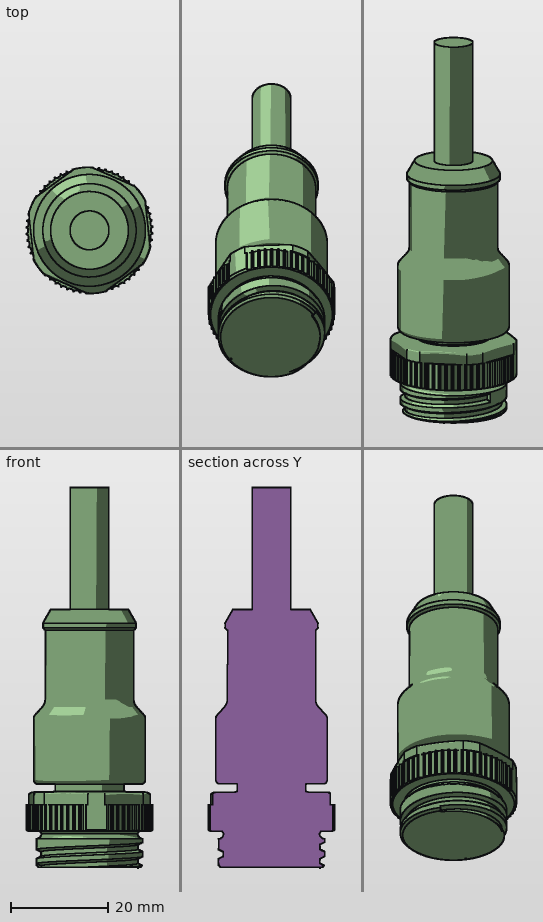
import cadquery as cq
import math

TOTAL_HEIGHT = 78.3
GRIP_TOP_Z = 53.2
BEAD_TOP_Z = 50.4
BEAD_BOTTOM_Z = 49.4
SHOULDER_TOP_Z = 33.85
SHOULDER_BOTTOM_Z = 31.2
SLEEVE_BOTTOM_Z = 17.3
NUT_TOP_Z = 15.75
KNURL_TOP_Z = 13.1
NUT_BOTTOM_Z = 7.6
SPIGOT_BOTTOM_Z = 7.15
RELIEF_Z = 6.55
THREAD_TOP_Z = 6.1
MATING_FACE_Z = 0.2

CABLE_RADIUS = 4.0
GRIP_TOP_RADIUS = 8.0
BEAD_RADIUS = 9.6
BEAD_CHAMFER = 0.5
GRIP_RADIUS = 9.1
SLEEVE_RADIUS = 11.5
SHOULDER_COVE_RADIUS = 2.3
SHOULDER_ROUND_RADIUS = 1.0
SLEEVE_BOTTOM_ROUND = 0.9
NECK_RADIUS = 7.1
NECK_FLARE_WIDTH = 0.35
NECK_FLARE_HEIGHT = 0.15

NUT_RADIUS = 13.0
HEX_SIDES = 6
HEX_ANGLE = 36.3
CORNER_HALF_ANGLE = 7.8
HEX_APOTHEM = NUT_RADIUS * math.cos(math.radians(180 / HEX_SIDES - CORNER_HALF_ANGLE))
NUT_TOP_ROUND = 0.4
NUT_CROWN_RADIUS = 11.2
NUT_CROWN_DROP = 0.4
NUT_BOTTOM_CHAMFER_HEIGHT = 0.3
NUT_BOTTOM_CHAMFER_WIDTH = 0.5
KNURL_PITCH_ANGLE = 6.0
KNURLS_PER_SIDE = 7
KNURL_ROOT_WIDTH = 0.8
KNURL_MOUTH_WIDTH = 1.25
KNURL_DEPTH = 0.35
KNURL_OVERCUT = 0.35
KNURLS_PER_CORNER = 3
CORNER_KNURL_DEPTH = 0.2
SMOOTH_CORNERS = (1, 4)

SPIGOT_RADIUS = 10.2
SPIGOT_TIP_RADIUS = 9.9
RELIEF_RADIUS = 10.1
THREAD_MAJOR_RADIUS = 10.95
THREAD_ROOT_RADIUS = 10.0
THREAD_PITCH = 2.9
THREAD_CHAMFER = 0.5
GROOVE_ROOT_WIDTH = 0.95
GROOVE_MOUTH_WIDTH = 1.9
GROOVE_OVERCUT = 0.5
GROOVE_START_ANGLE = 185
GROOVE_END_ANGLE = 60
GROOVE_START_Z = 0.09
GROOVE_TURNS = 2 + (GROOVE_END_ANGLE - GROOVE_START_ANGLE) / 360
THREAD_TIP_ANGLE = 5
THREAD_TIP_SIZE = 0.15

SELECT_MARGIN = 0.05


def revolve_profile(points):
    """Solid of revolution about Z from (radius, height) points."""
    return cq.Workplane("XZ").polyline(points).close().revolve(360, (0, 0, 0), (0, 1, 0))


def disc(radius, bottom_z, top_z):
    """Round bar on the Z axis."""
    return cq.Workplane("XY").workplane(offset=bottom_z).circle(radius).extrude(top_z - bottom_z)


def round_ring(body, radius, height, fillet_radius):
    """Fillet the circular edge found at the given radius and height."""
    selector = cq.selectors.BoxSelector(
        (-radius - SELECT_MARGIN, -radius - SELECT_MARGIN, height - SELECT_MARGIN),
        (radius + SELECT_MARGIN, radius + SELECT_MARGIN, height + SELECT_MARGIN),
        boundingbox=True,
    )
    return body.edges(selector).fillet(fillet_radius)


def make_grip():
    """Strain-relief grip: top cone, bead, barrel, conical shoulder and sleeve."""
    grip = revolve_profile([
        (0, GRIP_TOP_Z),
        (GRIP_TOP_RADIUS, GRIP_TOP_Z),
        (BEAD_RADIUS, BEAD_TOP_Z),
        (BEAD_RADIUS, BEAD_BOTTOM_Z),
        (BEAD_RADIUS - BEAD_CHAMFER, BEAD_BOTTOM_Z - BEAD_CHAMFER),
        (GRIP_RADIUS, SHOULDER_TOP_Z),
        (SLEEVE_RADIUS, SHOULDER_BOTTOM_Z),
        (SLEEVE_RADIUS, SLEEVE_BOTTOM_Z),
        (0, SLEEVE_BOTTOM_Z),
    ])
    grip = round_ring(grip, GRIP_RADIUS, SHOULDER_TOP_Z, SHOULDER_COVE_RADIUS)
    grip = round_ring(grip, SLEEVE_RADIUS, SHOULDER_BOTTOM_Z, SHOULDER_ROUND_RADIUS)
    return round_ring(grip, SLEEVE_RADIUS, SLEEVE_BOTTOM_Z, SLEEVE_BOTTOM_ROUND)


def make_neck():
    """Neck between sleeve and nut, flared where it meets the nut."""
    return revolve_profile([
        (0, SLEEVE_BOTTOM_Z),
        (NECK_RADIUS, SLEEVE_BOTTOM_Z),
        (NECK_RADIUS, NUT_TOP_Z + NECK_FLARE_HEIGHT),
        (NECK_RADIUS + NECK_FLARE_WIDTH, NUT_TOP_Z),
        (0, NUT_TOP_Z),
    ])


def make_nut_envelope():
    """Round blank of the nut with a conical crown and a chamfered bottom edge."""
    return revolve_profile([
        (0, NUT_TOP_Z),
        (NUT_CROWN_RADIUS, NUT_TOP_Z),
        (NUT_RADIUS, NUT_TOP_Z - NUT_CROWN_DROP),
        (NUT_RADIUS, NUT_BOTTOM_Z + NUT_BOTTOM_CHAMFER_HEIGHT),
        (NUT_RADIUS - NUT_BOTTOM_CHAMFER_WIDTH, NUT_BOTTOM_Z),
        (0, NUT_BOTTOM_Z),
    ])


def make_hex_head():
    """Hexagon with corners turned to the nut radius and a rounded top edge."""
    across_corners = 2 * HEX_APOTHEM / math.cos(math.pi / HEX_SIDES)
    hexagon = (
        cq.Workplane("XY").workplane(offset=NUT_BOTTOM_Z)
        .polygon(HEX_SIDES, across_corners).extrude(NUT_TOP_Z - NUT_BOTTOM_Z)
        .rotate((0, 0, 0), (0, 0, 1), HEX_ANGLE)
    )
    head = hexagon.intersect(make_nut_envelope())
    crown_edges = cq.selectors.BoxSelector(
        (-NUT_RADIUS, -NUT_RADIUS, NUT_TOP_Z - NUT_CROWN_DROP - SELECT_MARGIN),
        (NUT_RADIUS, NUT_RADIUS, NUT_TOP_Z - SELECT_MARGIN),
    )
    return head.edges(crown_edges).fillet(NUT_TOP_ROUND)


def make_knurl_groove(depth):
    """Axial groove cutter of the given depth, placed on the X axis."""
    return (
        cq.Workplane("XY").workplane(offset=NUT_BOTTOM_Z)
        .polyline([
            (NUT_RADIUS - depth, -KNURL_ROOT_WIDTH / 2),
            (NUT_RADIUS, -KNURL_MOUTH_WIDTH / 2),
            (NUT_RADIUS + KNURL_OVERCUT, -KNURL_MOUTH_WIDTH / 2),
            (NUT_RADIUS + KNURL_OVERCUT, KNURL_MOUTH_WIDTH / 2),
            (NUT_RADIUS, KNURL_MOUTH_WIDTH / 2),
            (NUT_RADIUS - depth, KNURL_ROOT_WIDTH / 2),
        ])
        .close()
        .extrude(KNURL_TOP_Z - NUT_BOTTOM_Z)
    )


def cut_knurls(body, depth, count, center_angles):
    """Cut a group of evenly pitched grooves about each of the given angles."""
    groove = make_knurl_groove(depth)
    grooves = []
    for center_angle in center_angles:
        for index in range(count):
            angle = center_angle + (index - (count - 1) / 2) * KNURL_PITCH_ANGLE
            grooves.append(groove.rotate((0, 0, 0), (0, 0, 1), angle).val())
    return body.cut(cq.Compound.makeCompound(grooves))


def make_nut():
    """Hexagon joined to a band knurled deeply on its sides and lightly on four corners."""
    side_angle = 360 / HEX_SIDES
    corners = [HEX_ANGLE + index * side_angle for index in range(HEX_SIDES)]
    sides = [corner + side_angle / 2 for corner in corners]
    knurled_corners = [corner for index, corner in enumerate(corners) if index not in SMOOTH_CORNERS]
    band = make_nut_envelope().intersect(disc(NUT_RADIUS, NUT_BOTTOM_Z, KNURL_TOP_Z))
    band = cut_knurls(band, KNURL_DEPTH, KNURLS_PER_SIDE, sides)
    nut = make_hex_head().union(band)
    return cut_knurls(nut, CORNER_KNURL_DEPTH, KNURLS_PER_CORNER, knurled_corners)


def make_threaded_end():
    """Spigot and relief below the nut, then a collar with a helical groove."""
    body = (
        cq.Workplane("XZ")
        .moveTo(0, NUT_BOTTOM_Z)
        .lineTo(SPIGOT_RADIUS, NUT_BOTTOM_Z)
        .lineTo(SPIGOT_TIP_RADIUS, SPIGOT_BOTTOM_Z)
        .threePointArc((RELIEF_RADIUS, RELIEF_Z), (THREAD_MAJOR_RADIUS, THREAD_TOP_Z))
        .lineTo(THREAD_MAJOR_RADIUS, MATING_FACE_Z + THREAD_CHAMFER)
        .lineTo(THREAD_MAJOR_RADIUS - THREAD_CHAMFER, MATING_FACE_Z)
        .lineTo(0, MATING_FACE_Z)
        .close()
        .revolve(360, (0, 0, 0), (0, 1, 0))
    )
    return body.cut(make_thread_groove()).union(make_thread_tip())


def make_thread_tip():
    """Small tip of the thread start that stands below the mating face."""
    return (
        cq.Workplane("XY")
        .center(THREAD_ROOT_RADIUS, 0)
        .rect(THREAD_TIP_SIZE, THREAD_TIP_SIZE)
        .extrude(2 * MATING_FACE_Z)
        .rotate((0, 0, 0), (0, 0, 1), THREAD_TIP_ANGLE)
    )


def make_thread_groove():
    """Right-hand helical cutter with a flat root and sloping flanks."""
    flank_slope = (GROOVE_MOUTH_WIDTH - GROOVE_ROOT_WIDTH) / (THREAD_MAJOR_RADIUS - THREAD_ROOT_RADIUS)
    outer_radius = THREAD_MAJOR_RADIUS + GROOVE_OVERCUT
    outer_width = GROOVE_MOUTH_WIDTH + flank_slope * GROOVE_OVERCUT
    path = cq.Wire.makeHelix(
        THREAD_PITCH, THREAD_PITCH * GROOVE_TURNS, THREAD_ROOT_RADIUS, cq.Vector(0, 0, GROOVE_START_Z)
    )
    return (
        cq.Workplane("XZ")
        .polyline([
            (THREAD_ROOT_RADIUS, GROOVE_START_Z - GROOVE_ROOT_WIDTH / 2),
            (outer_radius, GROOVE_START_Z - outer_width / 2),
            (outer_radius, GROOVE_START_Z + outer_width / 2),
            (THREAD_ROOT_RADIUS, GROOVE_START_Z + GROOVE_ROOT_WIDTH / 2),
        ])
        .close()
        .sweep(cq.Workplane(path), isFrenet=True)
        .rotate((0, 0, 0), (0, 0, 1), GROOVE_START_ANGLE)
    )


cable = disc(CABLE_RADIUS, GRIP_TOP_Z, TOTAL_HEIGHT)
result = make_threaded_end().union(make_nut()).union(make_neck()).union(make_grip()).union(cable)